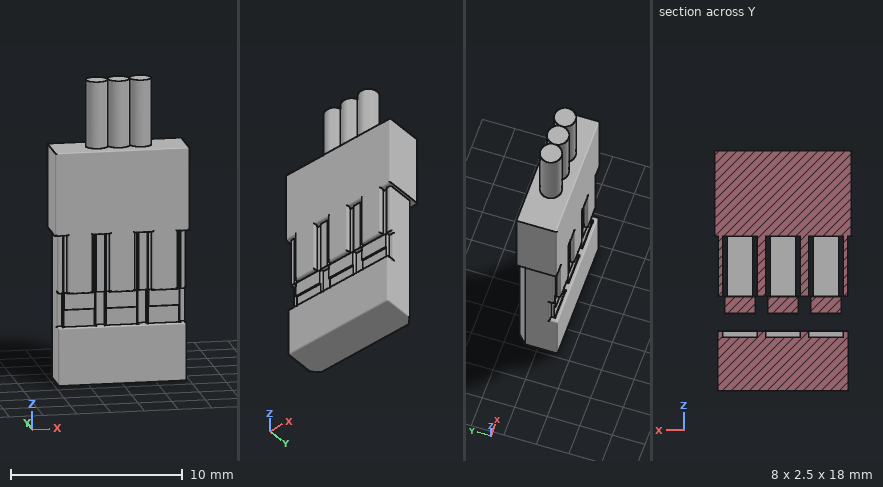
import cadquery as cq

TOTAL_HEIGHT = 18.0
DEPTH = 2.5
ROUND = 0.1

WIRE_COUNT = 3
WIRE_DIAMETER = 1.3
WIRE_LENGTH = 4.0

BLOCK_WIDTH = 8.0
BLOCK_TOP = TOTAL_HEIGHT - WIRE_LENGTH
BLOCK_BOTTOM = 9.0

BODY_WIDTH = 7.61
BACK_CHAMFER = 0.5
WINDOW_BOTTOM = 3.5
WINDOW_TOP = 5.5
CHANNEL_DEPTH = 0.25
WINDOW_DEPTH = 0.5

PITCH = 2.5
FINGER_WIDTH = 1.5
TONGUE_WIDTH = 1.8
TONGUE_GAP = 0.1
TONGUE_DEPTH = CHANNEL_DEPTH + TONGUE_GAP
CATCH_BOTTOM = 4.5
CATCH_DEPTH = 0.27
SLOT_FLOOR_DEPTH = 0.72
SLOT_DIP = 0.36
SLOT_BOTTOM = WINDOW_BOTTOM - SLOT_DIP


def centred_row(pitch):
    """X positions of one item per wire, centred on the plug."""
    return [(i - (WIRE_COUNT - 1) / 2) * pitch for i in range(WIRE_COUNT)]


CONTACT_X = centred_row(PITCH)
WIRE_X = centred_row(WIRE_DIAMETER)


def box(x_min, x_max, y_min, y_max, z_min, z_max):
    size = (x_max - x_min, y_max - y_min, z_max - z_min)
    return cq.Workplane("XY").box(*size, centered=False).translate((x_min, y_min, z_min))


def make_lower_body():
    """Body with the latch window cut across its front and its outer edges rounded."""
    profile = [
        (0, 0),
        (DEPTH, 0),
        (DEPTH, BLOCK_BOTTOM),
        (CHANNEL_DEPTH, BLOCK_BOTTOM),
        (CHANNEL_DEPTH, WINDOW_TOP),
        (WINDOW_DEPTH, WINDOW_TOP),
        (WINDOW_DEPTH, WINDOW_BOTTOM),
        (0, WINDOW_BOTTOM),
    ]
    body = cq.Workplane("YZ").polyline(profile).close().extrude(BODY_WIDTH / 2, both=True)
    body = body.edges("|Z and >Y").chamfer(BACK_CHAMFER)
    near_front = cq.selectors.BoxSelector(
        (-BODY_WIDTH, -DEPTH, 0), (BODY_WIDTH, WINDOW_DEPTH + ROUND, BLOCK_BOTTOM - ROUND)
    )
    front_side_edges = body.faces("<X or >X").edges(near_front)
    rounded = body.faces("<Z or <Y").edges().add(front_side_edges)
    return rounded.fillet(ROUND)


def make_cover_block():
    """Block with fingers reaching down its front; the edge along its top left side stays sharp."""
    block = box(-BLOCK_WIDTH / 2, BLOCK_WIDTH / 2, 0, DEPTH, BLOCK_BOTTOM, BLOCK_TOP)
    for x in CONTACT_X:
        finger = box(x - FINGER_WIDTH / 2, x + FINGER_WIDTH / 2, 0, CHANNEL_DEPTH,
                     WINDOW_TOP, BLOCK_BOTTOM)
        block = block.union(finger)
    rounded = block.faces("<Y").edges()
    rounded = rounded.add(block.faces(">Y").edges("not <Z"))
    rounded = rounded.add(block.faces(">Z").edges("not <X"))
    return rounded.fillet(ROUND)


def make_tongue_slot(x):
    """Slot around one tongue, dipping behind the ledge and reaching up under the finger."""
    half_width = TONGUE_WIDTH / 2 + TONGUE_GAP
    return box(x - half_width, x + half_width, CHANNEL_DEPTH, SLOT_FLOOR_DEPTH, SLOT_BOTTOM, BLOCK_BOTTOM)


def make_tongue(x):
    """Latch tongue on the slot floor, with a raised catch whose top is level with the finger tip."""
    left = x - TONGUE_WIDTH / 2
    right = x + TONGUE_WIDTH / 2
    tongue = box(left, right, TONGUE_DEPTH, SLOT_FLOOR_DEPTH, SLOT_BOTTOM, BLOCK_BOTTOM)
    catch = box(left, right, CATCH_DEPTH, TONGUE_DEPTH, CATCH_BOTTOM, WINDOW_TOP)
    return tongue.union(catch)


def make_housing():
    """One solid: lower body, cover block and the tongues in their slots."""
    housing = make_lower_body().union(make_cover_block())
    for x in CONTACT_X:
        housing = housing.cut(make_tongue_slot(x))
        housing = housing.union(make_tongue(x))
    return housing


def make_wire(x):
    """Round wire standing on top of the cover block."""
    return (
        cq.Workplane("XY", origin=(x, DEPTH / 2, BLOCK_TOP))
        .circle(WIRE_DIAMETER / 2)
        .extrude(WIRE_LENGTH)
    )


housing = make_housing()
wires = [make_wire(x) for x in WIRE_X]
result = cq.Compound.makeCompound([housing.val(), *[wire.val() for wire in wires]])